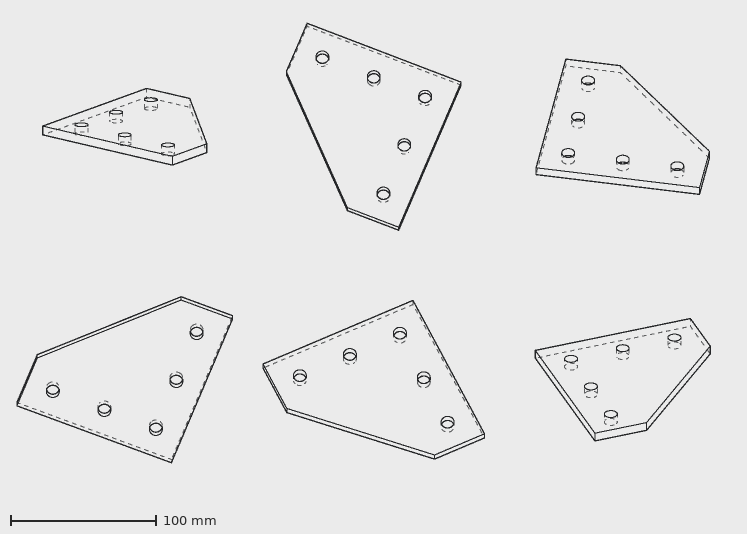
import cadquery as cq

side = 114.3
thickness = 6.4
hole_diameter = 8.9
holes_per_leg = 3

pitch = side / holes_per_leg
leg_width = pitch
edge_distance = leg_width / 2

plate = (
    cq.Workplane("XY")
    .moveTo(0, 0)
    .lineTo(side, 0)
    .lineTo(side, leg_width)
    .lineTo(leg_width, side)
    .lineTo(0, side)
    .close()
    .extrude(thickness)
)

along_leg = [edge_distance + i * pitch for i in range(holes_per_leg)]
x_leg_holes = [(x, edge_distance) for x in along_leg]
y_leg_holes = [(edge_distance, y) for y in along_leg[1:]]
holes = (
    cq.Workplane("XY")
    .pushPoints(x_leg_holes + y_leg_holes)
    .circle(hole_diameter / 2)
    .extrude(thickness)
)

result = plate.cut(holes)